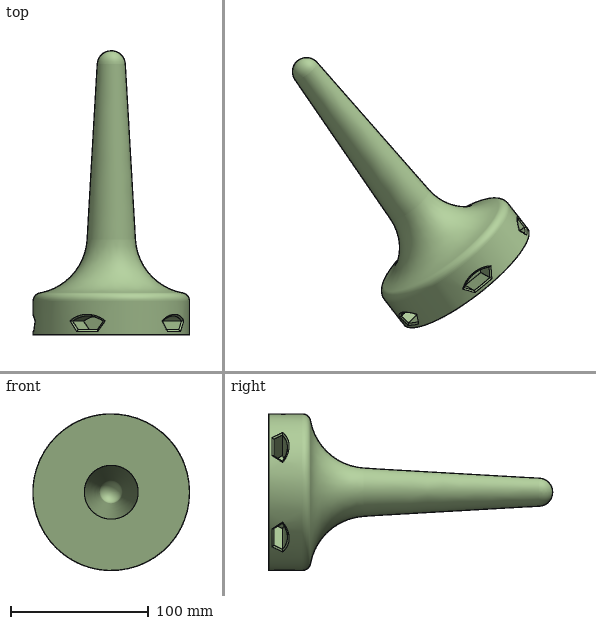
import cadquery as cq
import math

LENGTH = 206.0
BASE_RADIUS = 56.9
RIM_HEIGHT = 24.3
RIM_FILLET = 6.2
STEM_START = 69.0
TIP_RADIUS = 10.3
TAPER = math.radians(3.3)
WALL = 2.0

POCKET_COUNT = 5
POCKET_FLOOR_RADIUS = 28.8
POCKET_CHAMFER = 1.2
POCKET_BASE_Y = 2.5
POCKET_CORNER_Y = 10.0
POCKET_CROWN_Y = 14.8
POCKET_BASE_HALF_WIDTH = 8.0
POCKET_CORNER_HALF_WIDTH = 13.4
ON_RIM_TOLERANCE = 0.002

tip_center_y = LENGTH - TIP_RADIUS
normal_x = math.cos(TAPER)
normal_y = math.sin(TAPER)


def on_arc(center_x, center_y, radius, angle):
    """Point of a circle in the half-plane of the profile."""
    return center_x + radius * math.cos(angle), center_y + radius * math.sin(angle)


def cone_radius(tip_radius, y):
    """Radius at height y of the cone tangent to a round tip."""
    return (tip_radius + (tip_center_y - y) * normal_y) / normal_x


def revolve_profile(profile):
    return profile.close().revolve(360, (0, 0, 0), (0, 1, 0))


def make_body():
    stem_radius = cone_radius(TIP_RADIUS, STEM_START)
    rim_x = BASE_RADIUS - RIM_FILLET

    dx = stem_radius - rim_x
    dy = STEM_START - RIM_HEIGHT
    flare_radius = (dx**2 + dy**2 - RIM_FILLET**2) / (2 * (RIM_FILLET - dx * normal_x - dy * normal_y))
    flare_x = stem_radius + flare_radius * normal_x
    flare_y = STEM_START + flare_radius * normal_y
    contact_angle = math.atan2(flare_y - RIM_HEIGHT, flare_x - rim_x)
    flare_mid_angle = math.pi + (TAPER + contact_angle) / 2

    profile = (
        cq.Workplane("XY")
        .lineTo(BASE_RADIUS, 0)
        .lineTo(BASE_RADIUS, RIM_HEIGHT)
        .threePointArc(
            on_arc(rim_x, RIM_HEIGHT, RIM_FILLET, contact_angle / 2),
            on_arc(rim_x, RIM_HEIGHT, RIM_FILLET, contact_angle),
        )
        .threePointArc(
            on_arc(flare_x, flare_y, flare_radius, flare_mid_angle),
            (stem_radius, STEM_START),
        )
        .lineTo(*on_arc(0, tip_center_y, TIP_RADIUS, TAPER))
        .threePointArc(on_arc(0, tip_center_y, TIP_RADIUS, math.pi / 4), (0, LENGTH))
    )
    return revolve_profile(profile)


def make_bore():
    """Tapered round-ended hollow that leaves a constant wall in the stem."""
    bore_tip_radius = TIP_RADIUS - WALL
    profile = (
        cq.Workplane("XY")
        .lineTo(cone_radius(bore_tip_radius, 0), 0)
        .lineTo(*on_arc(0, tip_center_y, bore_tip_radius, TAPER))
        .threePointArc(
            on_arc(0, tip_center_y, bore_tip_radius, math.pi / 4),
            (0, tip_center_y + bore_tip_radius),
        )
    )
    return revolve_profile(profile)


def make_pocket_well():
    """Prism of the pocket on the -X side, from its flat floor out to the rim."""
    floor_plane = cq.Plane((-POCKET_FLOOR_RADIUS, 0, 0), xDir=(0, 0, 1), normal=(-1, 0, 0))
    return (
        cq.Workplane(floor_plane)
        .moveTo(-POCKET_BASE_HALF_WIDTH, POCKET_BASE_Y)
        .lineTo(POCKET_BASE_HALF_WIDTH, POCKET_BASE_Y)
        .lineTo(POCKET_CORNER_HALF_WIDTH, POCKET_CORNER_Y)
        .threePointArc((0, POCKET_CROWN_Y), (-POCKET_CORNER_HALF_WIDTH, POCKET_CORNER_Y))
        .close()
        .offset2D(-POCKET_CHAMFER)
        .extrude(BASE_RADIUS - POCKET_FLOOR_RADIUS)
    )


def is_pocket_mouth_edge(edge):
    """True for an edge within the pocket height that lies on the rim cylinder."""
    box = edge.BoundingBox()
    within_height = box.ymin > POCKET_BASE_Y and box.ymax < POCKET_CROWN_Y
    samples = [edge.positionAt(fraction) for fraction in (0, 0.5, 1)]
    on_rim = all(math.isclose(math.hypot(p.x, p.z), BASE_RADIUS, abs_tol=ON_RIM_TOLERANCE) for p in samples)
    return within_height and on_rim


def cut_pockets(body):
    well = make_pocket_well()
    for index in range(POCKET_COUNT):
        body = body.cut(well.rotate((0, 0, 0), (0, 1, 0), index * 360 / POCKET_COUNT))
    mouth_edges = [edge for edge in body.edges().vals() if is_pocket_mouth_edge(edge)]
    return body.newObject(mouth_edges).chamfer(POCKET_CHAMFER)


result = cut_pockets(make_body().cut(make_bore()))